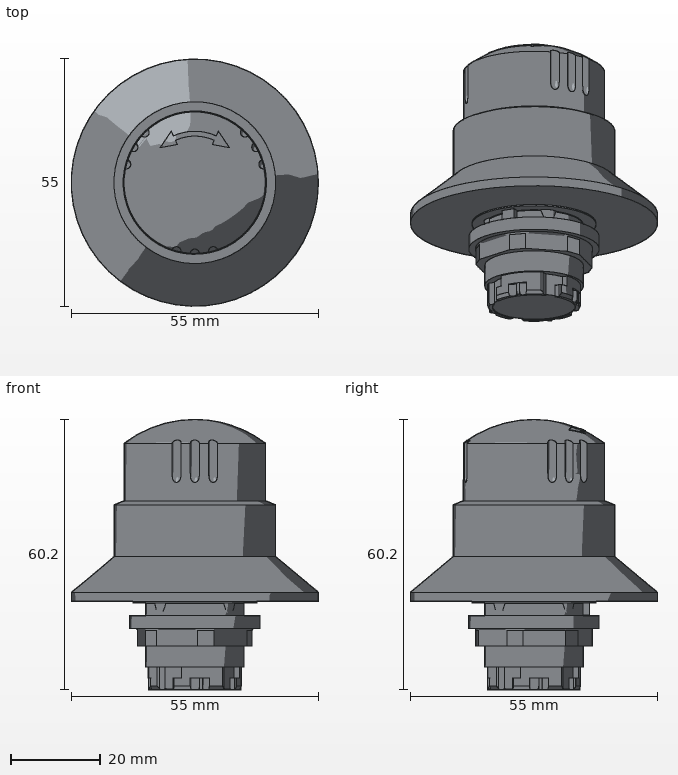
import cadquery as cq
import math

TOTAL_HEIGHT = 60.2
CORE_BOTTOM = 0.25
CROWN_TOP = 5.05
NUT_BOTTOM = 9.75
NUT_FLARE_BOTTOM = 13.25
RING_BOTTOM = 13.65
RING_TOP = 16.55
NECK_TOP = 19.2
GASKET_BOTTOM = 19.4
FLANGE_BOTTOM = 19.7
FLANGE_RIM_TOP = 21.75
CONE_TOP = 29.7
COLLAR_EDGE = 41.2
COLLAR_TOP = 42.0
KNOB_SHOULDER = 54.85

NECK_RADIUS = 22.0 / 2
NECK_RELIEF_RADIUS = 21.85 / 2
NUT_CORNER_RADIUS = 13.0
NUT_FLARE_RADIUS = 13.05
RING_RADIUS = 29.0 / 2
GASKET_RADIUS = 27.65 / 2
FLANGE_RADIUS = 55.0 / 2
COLLAR_RADIUS = 36.0 / 2
COLLAR_LIP_RADIUS = 15.95
KNOB_RADIUS = 31.5 / 2
DOME_RADIUS = 52.0 / 2
DOME_BASE_RADIUS = KNOB_RADIUS - 0.2

NUT_CORNER_ANGLE = 41.0
NUT_CORNER_HALF_ANGLE = 8.2

GROOVE_RADIUS = 1.0
GROOVE_DEPTH = 0.95
GROOVE_STRAIGHT_BOTTOM = 48.35
GROOVE_RUNOUT = 2.15
GROOVE_SPACING = 15.0
GROOVE_GROUP_ANGLES = (30, 150, 270)

ARROW_RELIEF = 0.1
ARROW_BAND_RADII = (10.35, 11.45)
ARROW_BARB_RADII = (9.35, 12.6)
ARROW_TIP_RADIUS = 10.95
ARROW_NECK_ANGLE = 24.6
ARROW_TIP_ANGLE = 44.7

GUSSET_ANGLE = 45.0
GUSSET_AXIS_RADIUS = 8.7
GUSSET_TOP_RADIUS = 2.75
KEY_WIDTH = 3.0
KEY_REACH = 12.4
KEY_BOTTOM = 16.7

CROWN_RADIUS = 20.75 / 2
CROWN_CHAMFER = 0.35
CROWN_CHAMFER_HEIGHT = 0.85
BAYONET_FLOOR_RADIUS = 9.2
BAYONET_SHELF = 2.7
BAYONET_END_Y = -6.45
BAYONET_ENTRY_X = -4.8
BAYONET_LOCK_X = -3.0
BAYONET_LEAD_IN = (0.25, 0.35)
BAYONET_END_LEAD_IN = (0.5, 0.3)
RIB_X = (1.1, 1.75)
RIB_RADIUS = 10.3
WINDOW_X = (-1.0, 3.25)
SCALLOP_DEPTH = 0.65

CUT_REACH = 18.05


def polar(radius, angle):
    """Point at a radius and an angle in degrees from +X."""
    turn = math.radians(angle)
    return (radius * math.cos(turn), radius * math.sin(turn))


def cylinder(radius, bottom, top):
    return cq.Workplane("XY").workplane(offset=bottom).circle(radius).extrude(top - bottom)


def block(x_range, y_range, z_range):
    size = [high - low for low, high in (x_range, y_range, z_range)]
    return cq.Workplane("XY").box(*size, centered=False).translate((x_range[0], y_range[0], z_range[0]))


def in_quadrants(body):
    """The body repeated in all four quadrants about Z."""
    copies = body
    for angle in (90, 180, 270):
        copies = copies.union(body.rotate((0, 0, 0), (0, 0, 1), angle))
    return copies


def turned_body():
    dome_centre = TOTAL_HEIGHT - DOME_RADIUS
    dome_base = dome_centre + math.sqrt(DOME_RADIUS**2 - DOME_BASE_RADIUS**2)
    mid_radius = DOME_BASE_RADIUS / 2
    mid_height = dome_centre + math.sqrt(DOME_RADIUS**2 - mid_radius**2)
    return (
        cq.Workplane("XZ")
        .moveTo(0, CORE_BOTTOM)
        .lineTo(BAYONET_FLOOR_RADIUS, CORE_BOTTOM)
        .lineTo(BAYONET_FLOOR_RADIUS, 0)
        .lineTo(CROWN_RADIUS - CROWN_CHAMFER, 0)
        .lineTo(CROWN_RADIUS, CROWN_CHAMFER_HEIGHT)
        .lineTo(CROWN_RADIUS, CROWN_TOP)
        .lineTo(NECK_RADIUS, CROWN_TOP)
        .lineTo(NECK_RADIUS, RING_BOTTOM)
        .lineTo(RING_RADIUS, RING_BOTTOM)
        .lineTo(RING_RADIUS, RING_TOP)
        .lineTo(NECK_RADIUS, RING_TOP)
        .lineTo(NECK_RADIUS, NECK_TOP)
        .lineTo(NECK_RELIEF_RADIUS, NECK_TOP)
        .lineTo(NECK_RELIEF_RADIUS, GASKET_BOTTOM)
        .lineTo(GASKET_RADIUS, GASKET_BOTTOM)
        .lineTo(GASKET_RADIUS, FLANGE_BOTTOM)
        .lineTo(FLANGE_RADIUS, FLANGE_BOTTOM)
        .lineTo(FLANGE_RADIUS, FLANGE_RIM_TOP)
        .lineTo(COLLAR_RADIUS, CONE_TOP)
        .lineTo(COLLAR_RADIUS, COLLAR_EDGE)
        .lineTo(COLLAR_LIP_RADIUS, COLLAR_TOP)
        .lineTo(KNOB_RADIUS, COLLAR_TOP)
        .lineTo(KNOB_RADIUS, KNOB_SHOULDER)
        .lineTo(DOME_BASE_RADIUS, dome_base)
        .threePointArc((mid_radius, mid_height), (0, TOTAL_HEIGHT))
        .close()
        .revolve(360, (0, 0, 0), (0, 1, 0))
    )


def lock_nut():
    corners = []
    for side in range(6):
        middle = NUT_CORNER_ANGLE + 60 * side
        corners.append(polar(NUT_CORNER_RADIUS, middle - NUT_CORNER_HALF_ANGLE))
        corners.append(polar(NUT_CORNER_RADIUS, middle + NUT_CORNER_HALF_ANGLE))
    prism = (
        cq.Workplane("XY").workplane(offset=NUT_BOTTOM)
        .polyline(corners).close().extrude(NUT_FLARE_BOTTOM - NUT_BOTTOM)
    )
    flare = (
        cq.Workplane("XY").workplane(offset=NUT_FLARE_BOTTOM)
        .polyline(corners).close()
        .workplane(offset=RING_BOTTOM - NUT_FLARE_BOTTOM).circle(NUT_FLARE_RADIUS)
        .loft(ruled=True)
    )
    return prism.union(flare)


def grip_groove():
    """Cutter on the +X side: a round flute whose lower end curves out to the knob surface."""
    axis_x = KNOB_RADIUS - GROOVE_DEPTH + GROOVE_RADIUS
    straight = cylinder(GROOVE_RADIUS, GROOVE_STRAIGHT_BOTTOM, TOTAL_HEIGHT).translate((axis_x, 0, 0))
    runout_radius = (GROOVE_RUNOUT**2 + GROOVE_DEPTH**2) / (2 * GROOVE_DEPTH)
    bend = runout_radius - GROOVE_RADIUS
    runout = (
        cq.Workplane("XY").workplane(offset=GROOVE_STRAIGHT_BOTTOM)
        .center(axis_x, 0).circle(GROOVE_RADIUS)
        .revolve(90, (bend, 0.6, 0), (bend, -0.6, 0))
    )
    return straight.union(runout)


def dome_arrow():
    """Arrow outline centred on +Y, bounded above by a sphere just over the dome."""
    inner, outer = ARROW_BAND_RADII
    inner_barb, outer_barb = ARROW_BARB_RADII
    right = 90 - ARROW_NECK_ANGLE
    left = 90 + ARROW_NECK_ANGLE
    outline = (
        cq.Workplane("XY").workplane(offset=KNOB_SHOULDER)
        .moveTo(*polar(outer, right))
        .threePointArc((0, outer), polar(outer, left))
        .lineTo(*polar(outer_barb, left))
        .lineTo(*polar(ARROW_TIP_RADIUS, 90 + ARROW_TIP_ANGLE))
        .lineTo(*polar(inner_barb, left))
        .lineTo(*polar(inner, left))
        .threePointArc((0, inner), polar(inner, right))
        .lineTo(*polar(inner_barb, right))
        .lineTo(*polar(ARROW_TIP_RADIUS, 90 - ARROW_TIP_ANGLE))
        .lineTo(*polar(outer_barb, right))
        .close()
        .extrude(TOTAL_HEIGHT - KNOB_SHOULDER)
    )
    cap = cq.Workplane("XY").sphere(DOME_RADIUS + ARROW_RELIEF)
    return outline.intersect(cap.translate((0, 0, TOTAL_HEIGHT - DOME_RADIUS)))


def neck_gusset():
    """Cone, point down, that swells out of the neck toward the gasket."""
    low_radius = NECK_RADIUS - GUSSET_AXIS_RADIUS
    return (
        cq.Workplane("XY").workplane(offset=RING_TOP)
        .center(*polar(GUSSET_AXIS_RADIUS, GUSSET_ANGLE)).circle(low_radius)
        .workplane(offset=GASKET_BOTTOM - RING_TOP).circle(GUSSET_TOP_RADIUS)
        .loft()
    )


def locating_key():
    half_width = KEY_WIDTH / 2
    return block((-half_width, half_width), (0, KEY_REACH), (KEY_BOTTOM, GASKET_BOTTOM))


def bayonet_slot():
    """L-shaped slot: open at the bottom, with a wider locking space above a shelf."""
    lead_x, lead_y = BAYONET_LEAD_IN
    end_lead_x, end_lead_y = BAYONET_END_LEAD_IN
    entry_wall_y = -math.sqrt(CROWN_RADIUS**2 - BAYONET_ENTRY_X**2)
    end_wall_x = -math.sqrt(CROWN_RADIUS**2 - BAYONET_END_Y**2)
    entry = (
        cq.Workplane("XY")
        .moveTo(BAYONET_ENTRY_X, BAYONET_END_Y)
        .lineTo(BAYONET_ENTRY_X, entry_wall_y + lead_y)
        .lineTo(BAYONET_ENTRY_X + lead_x, entry_wall_y)
        .lineTo(BAYONET_ENTRY_X + lead_x, -CUT_REACH)
        .lineTo(-CUT_REACH, -CUT_REACH)
        .lineTo(-CUT_REACH, BAYONET_END_Y + end_lead_y)
        .lineTo(end_wall_x - end_lead_x / 2, BAYONET_END_Y + end_lead_y)
        .lineTo(end_wall_x + end_lead_x / 2, BAYONET_END_Y)
        .close()
        .extrude(CROWN_TOP)
    )
    lock = block(
        (BAYONET_ENTRY_X, BAYONET_LOCK_X), (-CUT_REACH, BAYONET_END_Y), (BAYONET_SHELF, CROWN_TOP)
    )
    return entry.union(lock).cut(cylinder(BAYONET_FLOOR_RADIUS, 0, CROWN_TOP))


def scallop(x_start, x_end):
    """Upright round cutter whose chord on the crown surface spans the two X positions."""
    y_start = -math.sqrt(CROWN_RADIUS**2 - x_start**2)
    y_end = -math.sqrt(CROWN_RADIUS**2 - x_end**2)
    half_chord = math.hypot(x_end - x_start, y_end - y_start) / 2
    radius = (half_chord**2 + SCALLOP_DEPTH**2) / (2 * SCALLOP_DEPTH)
    chord_radius = math.sqrt(CROWN_RADIUS**2 - half_chord**2)
    centre_angle = math.degrees(math.atan2(y_start + y_end, x_start + x_end))
    centre_x, centre_y = polar(chord_radius - SCALLOP_DEPTH + radius, centre_angle)
    return cylinder(radius, 0, BAYONET_SHELF).translate((centre_x, centre_y, 0))


def crown_window():
    """Two scallops with a slightly sunk rib left between them."""
    sunk_rib = block(RIB_X, (-CUT_REACH, -RIB_RADIUS), (0, BAYONET_SHELF))
    return sunk_rib.union(scallop(WINDOW_X[0], RIB_X[0])).union(scallop(RIB_X[1], WINDOW_X[1]))


def crown_rib():
    return block(RIB_X, (-RIB_RADIUS, -BAYONET_FLOOR_RADIUS), (0, BAYONET_SHELF))


result = turned_body().union(lock_nut()).union(locating_key())
result = result.union(in_quadrants(neck_gusset()))

groove = grip_groove()
for group_angle in GROOVE_GROUP_ANGLES:
    for offset in (-GROOVE_SPACING, 0, GROOVE_SPACING):
        result = result.cut(groove.rotate((0, 0, 0), (0, 0, 1), group_angle + offset))
result = result.union(dome_arrow())

result = result.union(in_quadrants(crown_rib()))
result = result.cut(in_quadrants(bayonet_slot()))
result = result.cut(in_quadrants(crown_window()))